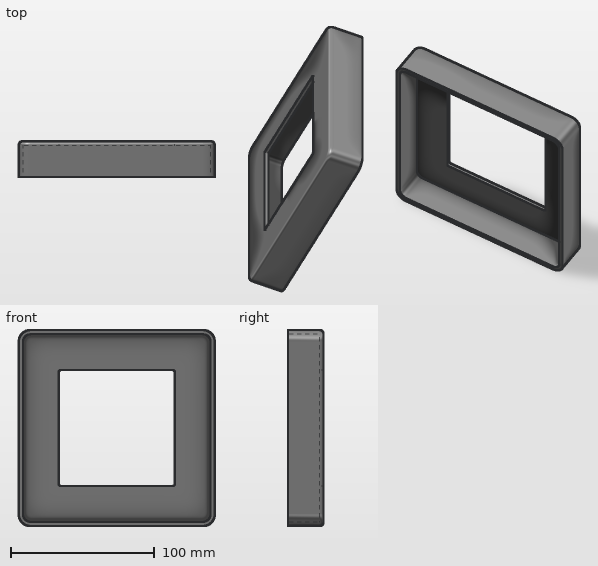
import cadquery as cq

SIDE = 136.4
DEPTH = 25.0
WALL = 3.0
FLOOR = 3.0
CORNER_RADIUS = 8.2
BACK_EDGE_RADIUS = 3.0
FRAME_WIDTH = 28.0
WINDOW_CORNER_RADIUS = 1.2

CAVITY_SIDE = SIDE - 2 * WALL
CAVITY_CORNER_RADIUS = CORNER_RADIUS - WALL
CAVITY_DEPTH = DEPTH - FLOOR
WINDOW_SIDE = SIDE - 2 * FRAME_WIDTH


def rounded_square_block(side, depth, corner_radius):
    """Square block with rounded corners, centred on the Y axis, from Y = 0 to Y = depth."""
    block = cq.Workplane("XZ").rect(side, side).extrude(-depth)
    return block.edges("|Y").fillet(corner_radius)


def make_tray():
    """Outer body with a rounded back edge, hollowed from the open -Y side."""
    body = rounded_square_block(SIDE, DEPTH, CORNER_RADIUS)
    body = body.faces(">Y").edges().fillet(BACK_EDGE_RADIUS)
    cavity = rounded_square_block(CAVITY_SIDE, CAVITY_DEPTH, CAVITY_CORNER_RADIUS)
    return body.cut(cavity)


def make_window_cutter():
    """Cutter for the window, spanning the full depth so it passes through the floor."""
    return rounded_square_block(WINDOW_SIDE, DEPTH, WINDOW_CORNER_RADIUS)


result = make_tray().cut(make_window_cutter())